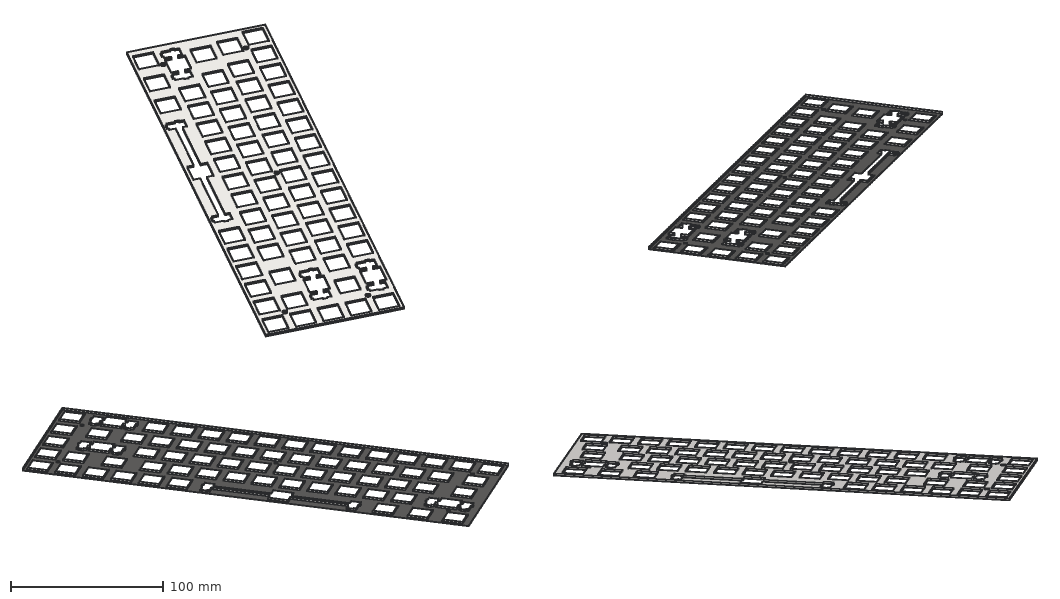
import cadquery as cq


length = 304.5
right_trim = 0.3
key_columns = 16
key_rows = 5
pitch = (length + right_trim) / key_columns

depth = key_rows * pitch
thickness = 1.5

switch_size = 14.0

stab_offset = 12.0
space_stab_offset = 50.0
stab_width = 6.7
stab_top = 5.5
stab_bottom = 6.7
foot_width = 3.5
foot_drop = 1.2
ear_reach = 0.88
ear_drop = 0.5
wire_half_width = 2.3

screw_diameter = 2.2
countersink_diameter = 3.5
countersink_depth = (countersink_diameter - screw_diameter) / 2


def key_run(first, count):
    """Columns of adjacent one-unit keys, starting at the given column."""
    return [first + i for i in range(count)]


last_column = key_columns - 0.5
backspace = 14
enter = 13.875
left_shift = 1.125
space = 6.875
rows = [
    key_run(0.5, 13) + [backspace, last_column],
    [0.75] + key_run(2, 12) + [14.25, last_column],
    [0.875] + key_run(2.25, 11) + [enter, last_column],
    [left_shift] + key_run(2.75, 10) + [13.125, 14.5, last_column],
    [0.625, 1.875, 3.125, space] + key_run(10.5, 6),
]

stabilized_keys = [
    (backspace, 0, stab_offset),
    (enter, 2, stab_offset),
    (left_shift, 3, stab_offset),
    (space, 4, space_stab_offset),
]

screw_places = [(1, 1.5), (1, -1.5), (15, 1.5), (15, -1.5), (7.75, 0.48)]


def column_x(column):
    return column * pitch - length / 2


def row_y(row):
    middle_row = (key_rows - 1) / 2
    return (middle_row - row) * pitch


def switch_cutouts():
    centres = [(column_x(c), row_y(r)) for r, columns in enumerate(rows) for c in columns]
    return cq.Workplane("XY").pushPoints(centres).rect(switch_size, switch_size).extrude(thickness)


def stabilizer_half(column, row, offset, side):
    """One stabilizer with its half of the wire channel; side is +1 for right, -1 for left."""
    inner = offset - stab_width / 2
    outer = offset + stab_width / 2
    foot_inner = offset - foot_width / 2
    foot_outer = offset + foot_width / 2
    foot_bottom = stab_bottom + foot_drop
    outline = [
        (0, wire_half_width),
        (inner, wire_half_width),
        (inner, stab_top),
        (outer, stab_top),
        (outer, wire_half_width),
        (outer + ear_reach, wire_half_width),
        (outer + ear_reach, -ear_drop),
        (outer, -ear_drop),
        (outer, -stab_bottom),
        (foot_outer, -stab_bottom),
        (foot_outer, -foot_bottom),
        (foot_inner, -foot_bottom),
        (foot_inner, -stab_bottom),
        (inner, -stab_bottom),
        (inner, -wire_half_width),
        (0, -wire_half_width),
    ]
    points = [(column_x(column) + side * x, row_y(row) + y) for x, y in outline]
    return cq.Workplane("XY").polyline(points).close().extrude(thickness)


def screw_hole(column, rows_back):
    """A through hole with a 90 degree countersink at the top face."""
    profile = [
        (0, 0),
        (screw_diameter / 2, 0),
        (screw_diameter / 2, thickness - countersink_depth),
        (countersink_diameter / 2, thickness),
        (0, thickness),
    ]
    hole = cq.Workplane("XZ").polyline(profile).close().revolve(360, (0, 0), (0, 1))
    return hole.translate((column_x(column), rows_back * pitch, 0))


result = cq.Workplane("XY").box(length, depth, thickness, centered=(True, True, False))
result = result.cut(switch_cutouts())
for key_column, key_row, key_offset in stabilized_keys:
    for key_side in (-1, 1):
        result = result.cut(stabilizer_half(key_column, key_row, key_offset, key_side))
for screw_column, screw_rows_back in screw_places:
    result = result.cut(screw_hole(screw_column, screw_rows_back))